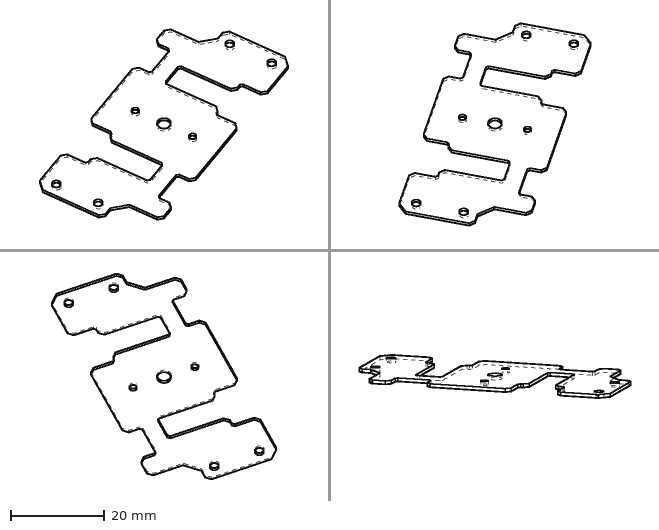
import cadquery as cq

length = 60.0
width = 28.0
thickness = 0.8
half_length = length / 2
half_width = width / 2

corner_chamfer = 1.0
end_chamfer = 2.0
inner_chamfer = 0.5

neck_outer_x = -10.0
neck_inner_x = -6.0
step_x = 8.0

body_right_y = 8.0
slot_bottom_y = 10.0
body_left_y = 11.0
slot_top_y = 16.0
tab_right_y = 18.5
arm_bottom_y = 19.0
arm_top_y = 24.0
tab_left_x = -3.0
slope_run = tab_left_x - neck_inner_x

center_hole_diameter = 3.0
body_hole_diameter = 1.6
body_hole_x = 7.2
tab_hole_diameter = 2.0
tab_hole_spacing = 10.5
tab_hole_y = 27.0

upper_corners = [
    (half_width, body_right_y, corner_chamfer),
    (step_x, body_right_y, inner_chamfer),
    (step_x, slot_bottom_y, corner_chamfer),
    (neck_inner_x, slot_bottom_y, inner_chamfer),
    (neck_inner_x, slot_top_y, inner_chamfer),
    (step_x, slot_top_y, corner_chamfer),
    (step_x, tab_right_y, inner_chamfer),
    (half_width, tab_right_y, corner_chamfer),
    (half_width, half_length, end_chamfer),
    (tab_left_x, half_length, corner_chamfer),
    (tab_left_x, arm_top_y + slope_run, 0),
    (neck_inner_x, arm_top_y, 0),
    (-half_width, arm_top_y, corner_chamfer),
    (-half_width, arm_bottom_y, corner_chamfer),
    (neck_outer_x, arm_bottom_y, inner_chamfer),
    (neck_outer_x, body_left_y, inner_chamfer),
    (-half_width, body_left_y, corner_chamfer),
]


def half_turn(points):
    """Rotate points by 180 degrees about the plate centre."""
    return [(-x, -y) for x, y in points]


def step_toward(start, target, distance):
    """Point at the given distance from start on the line to target."""
    offset = cq.Vector(*target) - cq.Vector(*start)
    point = cq.Vector(*start) + offset.normalized() * distance
    return (point.x, point.y)


def chamfered_outline(corners):
    """Cut each corner that has a chamfer leg; keep the others sharp."""
    points = []
    for i, (x, y, leg) in enumerate(corners):
        if leg == 0:
            points.append((x, y))
            continue
        previous_corner = corners[i - 1][:2]
        next_corner = corners[(i + 1) % len(corners)][:2]
        points.append(step_toward((x, y), previous_corner, leg))
        points.append(step_toward((x, y), next_corner, leg))
    return points


lower_corners = [(-x, -y, leg) for x, y, leg in upper_corners]
outline = chamfered_outline(upper_corners + lower_corners)
plate = cq.Workplane("XY").polyline(outline).close().extrude(thickness)


def drill(body, points, diameter):
    """Cut through holes at the given points."""
    holes = cq.Workplane("XY").pushPoints(points).circle(diameter / 2).extrude(thickness)
    return body.cut(holes)


body_holes = [(-body_hole_x, 0), (body_hole_x, 0)]
upper_tab_holes = [(0, tab_hole_y), (tab_hole_spacing, tab_hole_y)]

plate = drill(plate, [(0, 0)], center_hole_diameter)
plate = drill(plate, body_holes, body_hole_diameter)
plate = drill(plate, upper_tab_holes + half_turn(upper_tab_holes), tab_hole_diameter)

result = plate